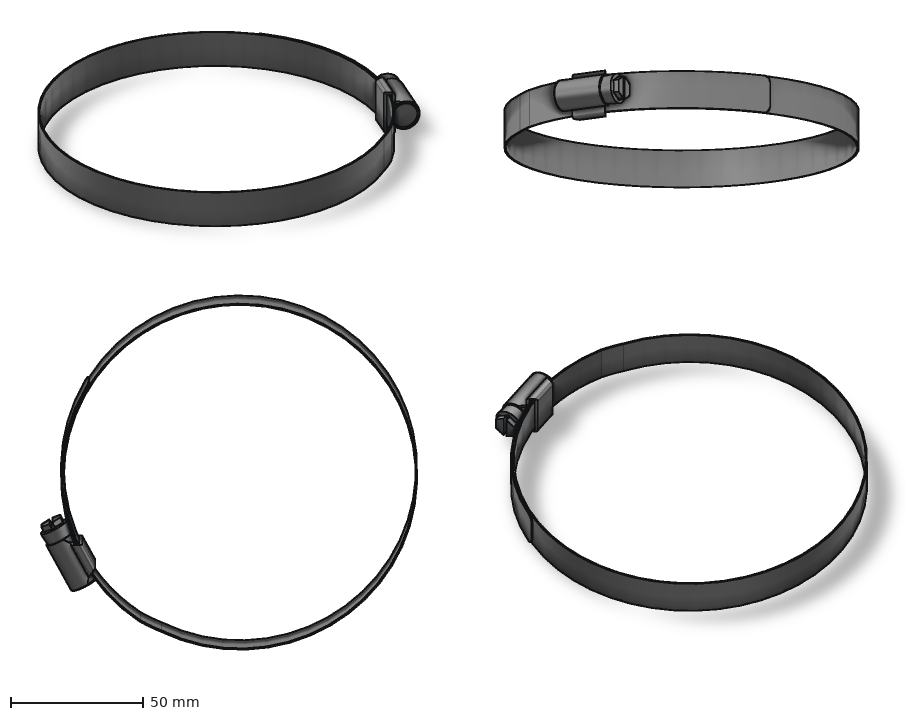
import cadquery as cq
import math

BAND_RADIUS = 67.0
BAND_THICKNESS = 0.6
BAND_WIDTH = 14.3
LAP_GAP = 0.07
START_ANGLE = 90.0
TAIL_ANGLE = 150.3
STEP_START_ANGLE = 54.8
STEP_END_ANGLE = 62.5
TAIL_CORNER_RADIUS = 2.5

INNER_RADIUS = BAND_RADIUS - BAND_THICKNESS
LAP_INNER_RADIUS = BAND_RADIUS + LAP_GAP
LAP_RADIUS = LAP_INNER_RADIUS + BAND_THICKNESS

TOTAL_TOP = 77.7
TUBE_RADIUS = 6.0
SHEET = 1.0
TUBE_LENGTH = 19.7
SADDLE_TOP = 68.7
SADDLE_BOTTOM = 64.8
SADDLE_WIDTH = 17.4
TUBE_SIDE_BOTTOM = 70.6
SADDLE_TOP_LENGTH = 14.3
SADDLE_BOTTOM_LENGTH = 10.4

AXIS_Y = TOTAL_TOP - TUBE_RADIUS
BORE_RADIUS = TUBE_RADIUS - SHEET

HEAD_FRONT_RADIUS = 5.6
HEAD_BACK_RADIUS = 5.4
HEAD_START_X = -14.8
HEAD_CONE_HEIGHT = 0.5
COLLAR_RADIUS = HEAD_FRONT_RADIUS
COLLAR_THICKNESS = 0.3
HEX_START_X = -17.4
HEX_ACROSS_FLATS = 8.1
SLOT_WIDTH = 1.3


def polar(radius, angle):
    """Point in the XY plane at a radius and an angle in degrees."""
    return (radius * math.cos(math.radians(angle)), radius * math.sin(math.radians(angle)))


def screw_plane(x):
    """Plane across the screw axis, with its local x along Z and its normal along +X."""
    return cq.Plane(origin=(x, AXIS_Y, 0), xDir=(0, 0, 1), normal=(1, 0, 0))


def disc_along_x(radius, start_x, end_x):
    """Cylinder on the screw axis between two X positions."""
    return cq.Workplane(screw_plane(start_x)).circle(radius).extrude(end_x - start_x)


def make_band():
    ring_middle = (START_ANGLE + STEP_START_ANGLE + 360) / 2
    step_middle = (STEP_START_ANGLE + STEP_END_ANGLE) / 2
    lap_middle = (STEP_END_ANGLE + TAIL_ANGLE) / 2
    half_step = (LAP_RADIUS - BAND_RADIUS) / 2

    return (
        cq.Workplane("XY", origin=(0, 0, -BAND_WIDTH / 2))
        .moveTo(*polar(BAND_RADIUS, START_ANGLE))
        .threePointArc(polar(BAND_RADIUS, ring_middle), polar(BAND_RADIUS, STEP_START_ANGLE))
        .threePointArc(polar(BAND_RADIUS + half_step, step_middle), polar(LAP_RADIUS, STEP_END_ANGLE))
        .threePointArc(polar(LAP_RADIUS, lap_middle), polar(LAP_RADIUS, TAIL_ANGLE))
        .lineTo(*polar(LAP_INNER_RADIUS, TAIL_ANGLE))
        .threePointArc(polar(LAP_INNER_RADIUS, lap_middle), polar(LAP_INNER_RADIUS, STEP_END_ANGLE))
        .threePointArc(polar(INNER_RADIUS + half_step, step_middle), polar(INNER_RADIUS, STEP_START_ANGLE))
        .threePointArc(polar(INNER_RADIUS, ring_middle), polar(INNER_RADIUS, START_ANGLE))
        .close()
        .extrude(BAND_WIDTH)
    )


def make_housing():
    half_tube = TUBE_LENGTH / 2
    half_top = SADDLE_TOP_LENGTH / 2
    half_bottom = SADDLE_BOTTOM_LENGTH / 2
    saddle_height = SADDLE_TOP - SADDLE_BOTTOM
    saddle_middle = (SADDLE_TOP + SADDLE_BOTTOM) / 2

    saddle = (
        cq.Workplane("XY", origin=(0, saddle_middle, 0))
        .box(TUBE_LENGTH, saddle_height, SADDLE_WIDTH)
        .edges("|X")
        .fillet(SHEET)
    )
    channel = cq.Workplane("XY", origin=(0, saddle_middle, 0)).box(
        TUBE_LENGTH, saddle_height - 2 * SHEET, SADDLE_WIDTH - 2 * SHEET
    )
    side_profile = (
        cq.Workplane("XY", origin=(0, 0, -SADDLE_WIDTH / 2))
        .polyline([
            (-half_tube, TOTAL_TOP),
            (-half_tube, TUBE_SIDE_BOTTOM),
            (-half_top, SADDLE_TOP),
            (-half_bottom, SADDLE_BOTTOM),
            (half_bottom, SADDLE_BOTTOM),
            (half_top, SADDLE_TOP),
            (half_tube, TUBE_SIDE_BOTTOM),
            (half_tube, TOTAL_TOP),
        ])
        .close()
        .extrude(SADDLE_WIDTH)
    )
    tube = disc_along_x(TUBE_RADIUS, -half_tube, half_tube)
    bore = disc_along_x(BORE_RADIUS, -half_tube, half_tube)
    return tube.union(saddle).cut(channel).cut(bore).intersect(side_profile)


def make_screw():
    half_tube = TUBE_LENGTH / 2
    hex_height = HEAD_START_X - HEX_START_X
    cone_top_radius = HEX_ACROSS_FLATS / 2

    shank = disc_along_x(BORE_RADIUS, -half_tube, half_tube)
    collar = disc_along_x(COLLAR_RADIUS, half_tube, half_tube + COLLAR_THICKNESS)
    head = (
        cq.Workplane("XZ", origin=(0, AXIS_Y, 0))
        .polyline([
            (HEAD_START_X - HEAD_CONE_HEIGHT, 0),
            (HEAD_START_X - HEAD_CONE_HEIGHT, cone_top_radius),
            (HEAD_START_X, HEAD_FRONT_RADIUS),
            (-half_tube, HEAD_BACK_RADIUS),
            (-half_tube, 0),
        ])
        .close()
        .revolve(360, (0, 0, 0), (1, 0, 0))
    )
    hexagon = (
        cq.Workplane("YZ", origin=(HEX_START_X, AXIS_Y, 0))
        .polygon(6, HEX_ACROSS_FLATS, circumscribed=True)
        .extrude(hex_height)
    )
    slot_depth = hex_height - HEAD_CONE_HEIGHT
    slot = cq.Workplane("XY", origin=(HEX_START_X + slot_depth / 2, AXIS_Y, 0)).box(
        slot_depth, SLOT_WIDTH, 2 * HEX_ACROSS_FLATS
    )
    band_relief = cq.Workplane("XY", origin=(0, 0, -BAND_WIDTH / 2)).circle(LAP_RADIUS).extrude(BAND_WIDTH)
    return shank.union(collar).union(head).union(hexagon).cut(slot).cut(band_relief)


def round_tail(band):
    """Round the two corners of the free end of the tail, cutting outward from a plane tangent to the ring."""
    radial = polar(1, TAIL_ANGLE)
    back_along_tail = (radial[1], -radial[0], 0)
    tail_plane = cq.Plane(
        origin=(*polar(BAND_RADIUS, TAIL_ANGLE), 0), xDir=back_along_tail, normal=(*radial, 0)
    )
    diagonal = TAIL_CORNER_RADIUS * (1 - math.sqrt(0.5))
    for side in (-1, 1):
        edge = side * BAND_WIDTH / 2
        corner = (
            cq.Workplane(tail_plane)
            .moveTo(0, edge)
            .lineTo(TAIL_CORNER_RADIUS, edge)
            .threePointArc((diagonal, edge - side * diagonal), (0, edge - side * TAIL_CORNER_RADIUS))
            .close()
            .extrude(2 * BAND_THICKNESS)
        )
        band = band.cut(corner)
    return band


band = round_tail(make_band())
housing = make_housing()
screw = make_screw()

result = cq.Compound.makeCompound([body.solids().val() for body in (band, housing, screw)])